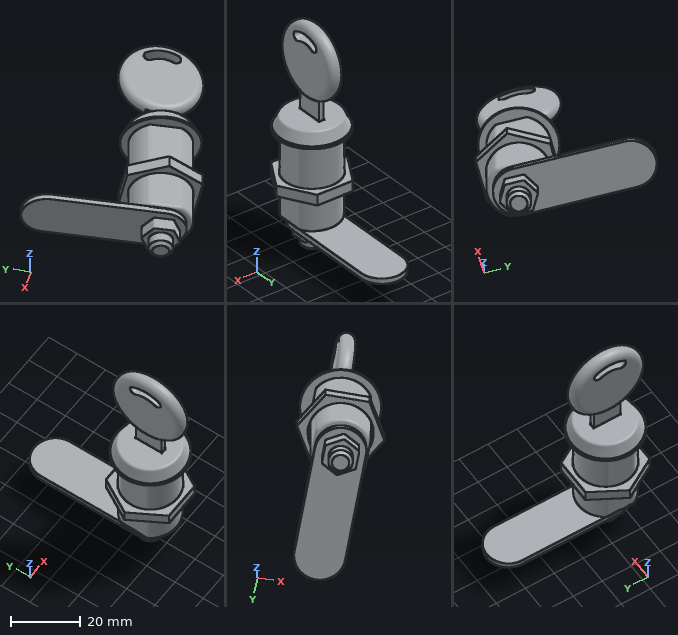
import cadquery as cq
import math


TOTAL_HEIGHT = 75.45
SCREW_HEAD_BOTTOM_Z = 4.1
CAM_BOTTOM_Z = 8.1
CAM_THICKNESS = 1.9
BARREL_BOTTOM_Z = CAM_BOTTOM_Z + CAM_THICKNESS
COLLAR_BOTTOM_Z = 39.9
COLLAR_TOP_Z = 44.7

BARREL_RADIUS = 9.35
ACROSS_FLATS = 16.2
FLAT_FILLET = 1.95
BARREL_BOTTOM_FILLET = 1.0

RIM_RADIUS = 11.8
RIM_HEIGHT = 0.6
RIM_BEVEL = 0.2
TAPER_TOP_RADIUS = 9.65
COLLAR_TOP_FILLET = 1.0

CAM_END_RADIUS = 7.5
CAM_REACH = 41.0

SCREW_ACROSS_FLATS = 9.95
SCREW_CORNER_FILLET = 0.7
STUD_RADIUS = 3.55
STUD_CHAMFER = 1.05

HEX_HALF_SECTOR = 30

NUT_ACROSS_CORNERS = 25.7
NUT_BOTTOM_Z = 21.35
NUT_BORE_RADIUS = 9.5
NUT_THICKNESS = 3.6

BOW_RADIUS = 12.5
BOW_THICKNESS = 5.0
BOW_EDGE_FILLET = 2.4
BOW_CENTRE_Z = TOTAL_HEIGHT - BOW_RADIUS
BLADE_THICKNESS = 1.65
BLADE_WIDTH = 9.1
RING_HOLE_MID_RADIUS = 8.1
RING_HOLE_WIDTH = 3.0
RING_HOLE_HALF_ANGLE = math.radians(29)

KEYWAY_DEPTH = 4.5
KEYWAY_CLEARANCE = 0.15
KEYWAY_FLOOR_Z = COLLAR_TOP_Z - KEYWAY_DEPTH


def make_barrel():
    """Double-flatted cylinder with softened flat edges and bottom edge."""
    height = COLLAR_BOTTOM_Z - BARREL_BOTTOM_Z
    flats = cq.Workplane("XY").box(
        ACROSS_FLATS, 2 * BARREL_RADIUS, height, centered=(True, True, False)
    )
    barrel = cq.Workplane("XY").circle(BARREL_RADIUS).extrude(height).intersect(flats)
    barrel = barrel.edges("|Z and (>X or <X)").fillet(FLAT_FILLET)
    barrel = barrel.faces("<Z").edges().fillet(BARREL_BOTTOM_FILLET)
    return barrel.translate((0, 0, BARREL_BOTTOM_Z))


def make_collar():
    """Narrow rim with a cone above it, rounded at the top."""
    rim_top_z = COLLAR_BOTTOM_Z + RIM_HEIGHT
    collar = (
        cq.Workplane("XZ")
        .moveTo(0, COLLAR_BOTTOM_Z)
        .lineTo(RIM_RADIUS, COLLAR_BOTTOM_Z)
        .lineTo(RIM_RADIUS, rim_top_z)
        .lineTo(RIM_RADIUS - RIM_BEVEL, rim_top_z + RIM_BEVEL)
        .lineTo(TAPER_TOP_RADIUS, COLLAR_TOP_Z)
        .lineTo(0, COLLAR_TOP_Z)
        .close()
        .revolve(360, (0, 0, 0), (0, 1, 0))
    )
    return collar.faces(">Z").edges().fillet(COLLAR_TOP_FILLET)


def make_cam():
    """Flat arm with round ends, one of them centred on the lock axis."""
    length = CAM_REACH + CAM_END_RADIUS
    return (
        cq.Workplane("XY", origin=(0, 0, CAM_BOTTOM_Z))
        .center(0, length / 2 - CAM_END_RADIUS)
        .slot2D(length, 2 * CAM_END_RADIUS, 90)
        .extrude(CAM_THICKNESS)
    )


def make_hexagon(across_corners, height):
    return cq.Workplane("XY").polygon(6, across_corners).extrude(height)


def make_screw():
    """Hexagonal head with flats facing -X and +X, and the stud below it."""
    across_corners = SCREW_ACROSS_FLATS / math.cos(math.radians(HEX_HALF_SECTOR))
    head = (
        make_hexagon(across_corners, CAM_BOTTOM_Z - SCREW_HEAD_BOTTOM_Z)
        .edges("|Z")
        .fillet(SCREW_CORNER_FILLET)
        .rotate((0, 0, 0), (0, 0, 1), HEX_HALF_SECTOR)
        .translate((0, 0, SCREW_HEAD_BOTTOM_Z))
    )
    stud = cq.Workplane("XY").circle(STUD_RADIUS).extrude(SCREW_HEAD_BOTTOM_Z)
    return head.union(stud.faces("<Z").chamfer(STUD_CHAMFER))


def make_lock():
    """Barrel, collar, cam and cam screw, with a keyway in the collar."""
    keyway = cq.Workplane("XY", origin=(0, 0, KEYWAY_FLOOR_Z)).box(
        BLADE_THICKNESS + 2 * KEYWAY_CLEARANCE,
        BLADE_WIDTH + 2 * KEYWAY_CLEARANCE,
        KEYWAY_DEPTH,
        centered=(True, True, False),
    )
    return make_barrel().union(make_collar()).union(make_cam()).union(make_screw()).cut(keyway)


def make_nut():
    """Hexagonal nut with a round bore slightly wider than the barrel."""
    nut = make_hexagon(NUT_ACROSS_CORNERS, NUT_THICKNESS)
    bore = cq.Workplane("XY").circle(NUT_BORE_RADIUS).extrude(NUT_THICKNESS)
    return nut.cut(bore).translate((0, 0, NUT_BOTTOM_Z))


def make_ring_hole():
    """Arched slot through the bow, concentric with it, with round ends."""
    outer_radius = RING_HOLE_MID_RADIUS + RING_HOLE_WIDTH / 2
    inner_radius = RING_HOLE_MID_RADIUS - RING_HOLE_WIDTH / 2
    cap_reach = RING_HOLE_WIDTH / 2

    def on_arc(radius, angle, beyond=0.0):
        across = radius * math.sin(angle) + beyond * math.cos(angle)
        up = radius * math.cos(angle) - abs(beyond * math.sin(angle))
        return (across, up)

    angle = RING_HOLE_HALF_ANGLE
    return (
        cq.Workplane("YZ", origin=(0, 0, BOW_CENTRE_Z))
        .moveTo(*on_arc(outer_radius, -angle))
        .threePointArc((0, outer_radius), on_arc(outer_radius, angle))
        .threePointArc(on_arc(RING_HOLE_MID_RADIUS, angle, cap_reach), on_arc(inner_radius, angle))
        .threePointArc((0, inner_radius), on_arc(inner_radius, -angle))
        .threePointArc(on_arc(RING_HOLE_MID_RADIUS, -angle, -cap_reach), on_arc(outer_radius, -angle))
        .close()
        .extrude(BOW_THICKNESS / 2, both=True)
    )


def make_key():
    """Round bow with a ring hole, and a flat blade standing on the keyway floor."""
    bow = (
        cq.Workplane("YZ", origin=(0, 0, BOW_CENTRE_Z))
        .circle(BOW_RADIUS)
        .extrude(BOW_THICKNESS / 2, both=True)
        .edges("%CIRCLE")
        .fillet(BOW_EDGE_FILLET)
        .cut(make_ring_hole())
    )
    blade = cq.Workplane("XY", origin=(0, 0, KEYWAY_FLOOR_Z)).box(
        BLADE_THICKNESS,
        BLADE_WIDTH,
        BOW_CENTRE_Z - KEYWAY_FLOOR_Z,
        centered=(True, True, False),
    )
    return bow.union(blade)


lock = make_lock()
nut = make_nut()
key = make_key()

result = cq.Compound.makeCompound([lock.val(), nut.val(), key.val()])